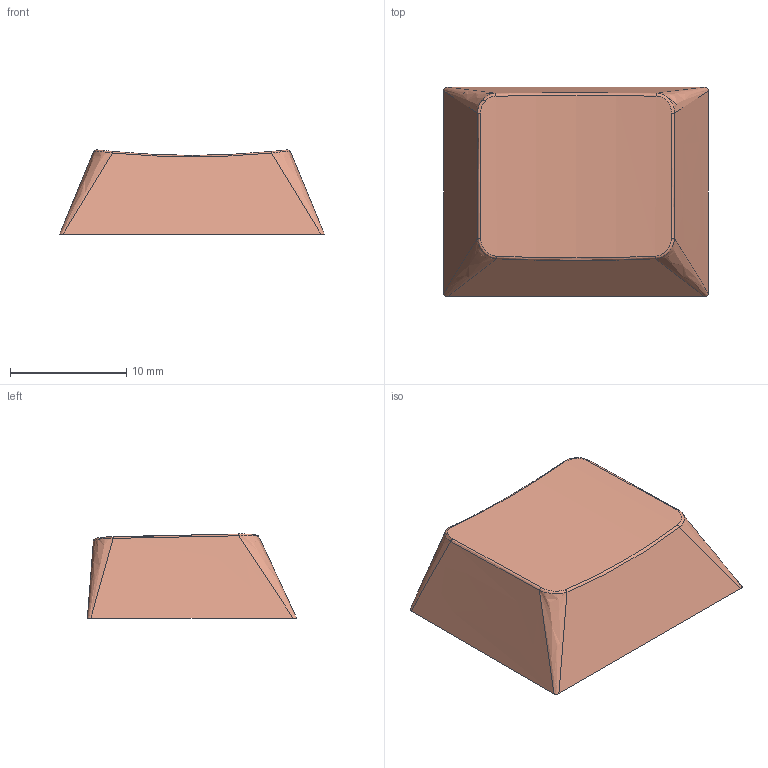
import cadquery as cq

BASE_LENGTH = 22.76
BASE_WIDTH = 18.0
BASE_CORNER_RADIUS = 0.3

CROWN_LENGTH = 16.5
CROWN_WIDTH = 13.88
CROWN_CORNER_RADIUS = 1.8
CROWN_HEIGHT = 7.5
CROWN_OFFSET_Y = 1.49
CROWN_TILT = 1.2

DISH_RADIUS = 68.0
DISH_DEPTH = 0.88
DISH_CUTTER_LENGTH = 2 * BASE_WIDTH

RIM_FILLET = 0.25

crown_plane = cq.Plane(origin=(0, CROWN_OFFSET_Y, CROWN_HEIGHT)).rotated((-CROWN_TILT, 0, 0))


def rounded_rectangle(length, width, radius):
    """Rectangle with rounded corners, centred on the origin."""
    return cq.Sketch().rect(length, width).vertices().fillet(radius)


def tapered_body():
    """Ruled body from the base footprint up to the smaller, tilted crown outline."""
    base = rounded_rectangle(BASE_LENGTH, BASE_WIDTH, BASE_CORNER_RADIUS)
    crown = rounded_rectangle(CROWN_LENGTH, CROWN_WIDTH, CROWN_CORNER_RADIUS)
    placed_crown = crown.moved(crown_plane.location)
    return cq.Workplane("XY").placeSketch(base, placed_crown).loft(ruled=True)


def dish_cutter():
    """Cylinder lying along the tilted crown, reaching DISH_DEPTH below it."""
    start = crown_plane.toWorldCoords((0, -DISH_CUTTER_LENGTH / 2, DISH_RADIUS - DISH_DEPTH))
    return cq.Solid.makeCylinder(DISH_RADIUS, DISH_CUTTER_LENGTH, start, crown_plane.yDir)


body = tapered_body().cut(cq.Workplane(obj=dish_cutter()))
result = body.faces(">Z").edges().fillet(RIM_FILLET)